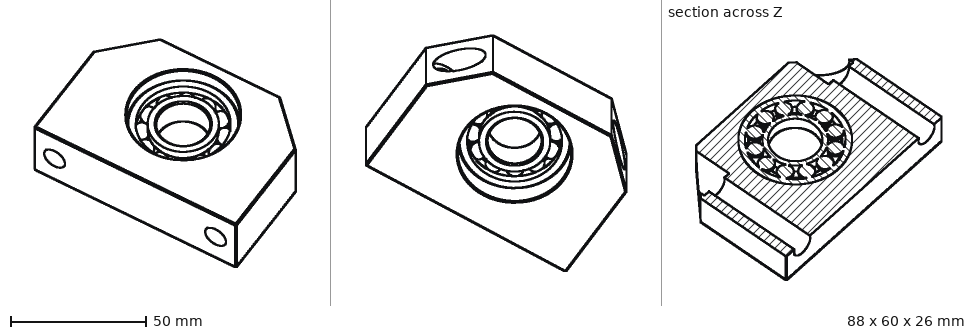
import cadquery as cq
import math

LENGTH = 88.0
WIDTH = 60.0
HEIGHT = 26.0
CORNER_CUT = 17.95
EDGE_CHAMFER = 0.5

BOLT_HOLE_DIA = 9.1
COUNTERBORE_DIA = 14.1
COUNTERBORE_DEPTH = CORNER_CUT
BOLT_X = LENGTH / 2 - CORNER_CUT / 2

BEARING_Y = 4.0
BEARING_OD = 42.0
BEARING_BORE = 20.0
BEARING_WIDTH = 12.0
BEARING_MID_Z = 1.5
OUTER_RING_ID = 35.2
INNER_RING_OD = 26.4
RING_CHAMFER = 0.6
SEAT_CHAMFER = 0.5

BALL_COUNT = 12
BALL_DIA = 6.5
BALL_START_ANGLE = -2.9
PITCH_RADIUS = (OUTER_RING_ID + INNER_RING_OD) / 4
BALL_BITE = 0.1


def block():
    """Plate with both rear corners cut off at 45 degrees and its edges broken."""
    plate = cq.Workplane("XY").box(LENGTH, WIDTH, HEIGHT)
    plate = plate.edges("|Z and >Y").chamfer(CORNER_CUT)
    plate = plate.edges("|Z and <Y").chamfer(EDGE_CHAMFER)
    return plate.faces("<Z or >Z").edges().chamfer(EDGE_CHAMFER)


def bolt_hole(x):
    """Cutter for one bolt hole, counterbored from the rear face."""
    rear = cq.Workplane("XZ", origin=(x, WIDTH / 2, 0))
    hole = rear.circle(BOLT_HOLE_DIA / 2).extrude(WIDTH)
    return hole.union(rear.circle(COUNTERBORE_DIA / 2).extrude(COUNTERBORE_DEPTH))


def bearing_seat():
    """Cutter for the through bore that holds the bearing, flared at both mouths."""
    bore = cq.Workplane("XY").cylinder(HEIGHT, BEARING_OD / 2)
    mouth_dia = BEARING_OD + 2 * SEAT_CHAMFER
    top_flare = (
        cq.Workplane("XY", origin=(0, 0, HEIGHT / 2))
        .circle(mouth_dia / 2)
        .extrude(-SEAT_CHAMFER, taper=45)
    )
    bottom_flare = top_flare.mirror("XY")
    return bore.union(top_flare).union(bottom_flare).translate((0, BEARING_Y, 0))


def make_housing():
    housing = block().cut(bearing_seat())
    for x in (-BOLT_X, BOLT_X):
        housing = housing.cut(bolt_hole(x))
    return housing


def ring(outer_dia, inner_dia):
    """Square-edged bearing ring centred on the origin."""
    return (
        cq.Workplane("XY", origin=(0, 0, -BEARING_WIDTH / 2))
        .circle(outer_dia / 2)
        .circle(inner_dia / 2)
        .extrude(BEARING_WIDTH)
    )


def raceway():
    """Torus cutter for the ball groove in both rings, slightly thinner than the balls."""
    groove_radius = BALL_DIA / 2 - BALL_BITE
    return cq.Workplane("XY").add(cq.Solid.makeTorus(PITCH_RADIUS, groove_radius))


def make_bearing():
    """Both rings and the balls between them, as one solid."""
    outer_ring = ring(BEARING_OD, OUTER_RING_ID)
    outer_ring = outer_ring.edges(cq.selectors.RadiusNthSelector(-1)).chamfer(RING_CHAMFER)
    inner_ring = ring(INNER_RING_OD, BEARING_BORE)
    inner_ring = inner_ring.edges(cq.selectors.RadiusNthSelector(0)).chamfer(RING_CHAMFER)

    bearing = outer_ring.union(inner_ring).cut(raceway())
    for i in range(BALL_COUNT):
        angle = math.radians(BALL_START_ANGLE + i * 360 / BALL_COUNT)
        centre = (PITCH_RADIUS * math.cos(angle), PITCH_RADIUS * math.sin(angle), 0)
        ball = cq.Workplane("XY").sphere(BALL_DIA / 2).translate(centre)
        bearing = bearing.union(ball)
    return bearing.translate((0, BEARING_Y, BEARING_MID_Z))


housing = make_housing()
bearing = make_bearing()
result = cq.Compound.makeCompound([*housing.solids().vals(), *bearing.solids().vals()])